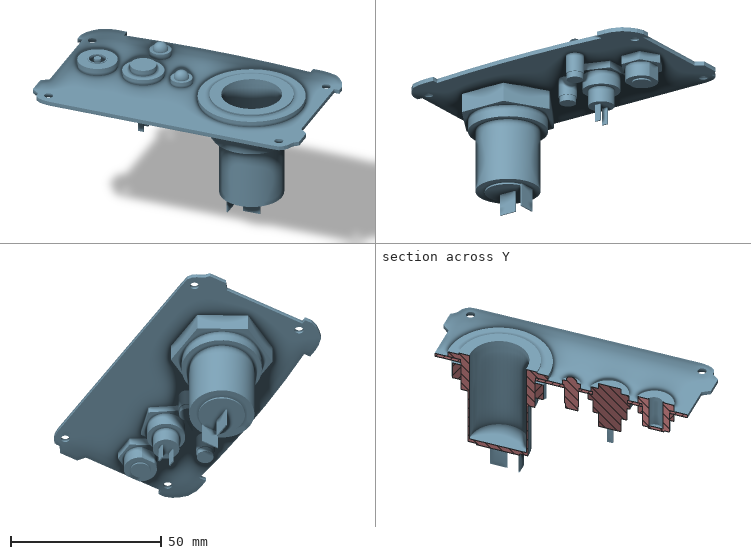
import cadquery as cq


PANEL_THICKNESS = 1.4
PANEL_HEIGHT = 54.0
PANEL_HALF_WIDTH = 47.75
WALL_X = 45.1
FOOT_TOP_Y = 14.3
LOBE_BOTTOM_Y = 43.55
RIGHT_LOBE_DROP = 0.3
LOBE_SIDE_X = 46.9
LOBE_SHOULDER_DROP = 0.3
NOTCH_X = 33.4
NOTCH_Y = 51.4
CROWN_Y = 52.8
MOUNT_HOLE_DIAMETER = 3.0
UPPER_HOLE_X = 41.9
UPPER_HOLE_Y = 44.2
LOWER_HOLE_X = 41.3
LOWER_HOLE_Y = 3.9

ROW_Y = 28.6
JACK_CENTRE = (-33.7, ROW_Y)
BUTTON_CENTRE = (-17.3, ROW_Y)
LAMP_CENTRES = [(BUTTON_CENTRE[0], 43.7), (-3.6, ROW_Y)]
SOCKET_CENTRE = (22.6, 25.9)

PANEL_TOP_Z = 0
PANEL_BOTTOM_Z = -PANEL_THICKNESS
FLANGE_TOP_Z = 2.0
NUT_SIDES = 6

SOCKET_FLANGE_DIAMETER = 35.9
SOCKET_RIM_DIAMETER = 28.1
SOCKET_RIM_TOP_Z = 2.6
SOCKET_BORE_DIAMETER = 20.2
SOCKET_FLOOR = 1.4
SOCKET_THREAD_DIAMETER = 26.6
SOCKET_THREAD_BOTTOM_Z = -12.9
SOCKET_TUBE_DIAMETER = 21.7
SOCKET_TUBE_BOTTOM_Z = -34.4
SOCKET_BOSS_DIAMETER = 15.5
SOCKET_BOSS_BOTTOM_Z = -35.0
SOCKET_BLADE_WIDTH = 6.1
SOCKET_BLADE_THICKNESS = 0.4
SOCKET_BLADE_BOTTOM_Z = -42.4
SOCKET_NUT_CORNERS = 33.8
SOCKET_NUT_TOP_Z = -2.3
SOCKET_NUT_BOTTOM_Z = -8.8

JACK_FLANGE_DIAMETER = 13.5
JACK_FLANGE_TOP_Z = 2.7
JACK_BODY_DIAMETER = 11.0
JACK_BODY_FLATS = 9.8
JACK_BODY_BOTTOM_Z = -9.5
JACK_SLEEVE_DIAMETER = 6.5
JACK_SLEEVE_TOP_Z = 3.0
JACK_SLEEVE_BOTTOM_Z = -9.9
JACK_BORE_DIAMETER = 5.7
JACK_BORE_FLOOR_Z = -8.6
JACK_PIN_DIAMETER = 2.5
JACK_PIN_TOP_Z = 3.15
JACK_NUT_CORNERS = 14.9
JACK_NUT_BOTTOM_Z = -4.4

BUTTON_FLANGE_DIAMETER = 14.0
BUTTON_CAP_DIAMETER = 8.8
BUTTON_CAP_TOP_Z = 4.1
BUTTON_BODY_DIAMETER = 12.7
BUTTON_BODY_BOTTOM_Z = -8.8
BUTTON_TAIL_BOTTOM_Z = -14.3
BUTTON_COLLAR_SIDES = 5
BUTTON_COLLAR_CORNERS = 18.05
BUTTON_COLLAR_BOTTOM_Z = -3.8
BUTTON_BLADE_WIDTH = 2.1
BUTTON_BLADE_THICKNESS = 0.5
BUTTON_BLADE_OFFSET = 2.0
BUTTON_BLADE_BOTTOM_Z = -20.2

LAMP_FLANGE_DIAMETER = 7.4
LAMP_DOME_DIAMETER = 5.1
LAMP_TOP_Z = 4.7
LAMP_BODY_DIAMETER = 6.1
LAMP_BODY_BOTTOM_Z = -7.9
LAMP_TAIL_DIAMETER = 5.5
LAMP_TAIL_BOTTOM_Z = -9.9


def cylinder(diameter, bottom_z, top_z):
    return cq.Workplane("XY", origin=(0, 0, bottom_z)).circle(diameter / 2).extrude(top_z - bottom_z)


def prism(sides, corner_diameter, bottom_z, top_z):
    """Regular prism with one corner on the +X axis."""
    plane = cq.Workplane("XY", origin=(0, 0, bottom_z))
    return plane.polygon(sides, corner_diameter).extrude(top_z - bottom_z)


def block(size_x, size_y, bottom_z, top_z, centre=(0, 0)):
    plane = cq.Workplane("XY", origin=(*centre, bottom_z))
    return plane.rect(size_x, size_y).extrude(top_z - bottom_z)


def placed(body, centre):
    return body.translate((*centre, 0))


def lobe_corner(top_y):
    """Faceted upper corner on the +X side, from the side wall up to the notch."""
    return [
        (WALL_X, LOBE_BOTTOM_Y),
        (LOBE_SIDE_X, LOBE_BOTTOM_Y),
        (LOBE_SIDE_X, 46.0),
        (45.9, 48.5),
        (44.5, 50.4),
        (42.5, 52.4),
        (39.25, top_y - LOBE_SHOULDER_DROP),
        (36.8, top_y),
        (NOTCH_X, top_y),
    ]


def mirrored(points):
    return [(-x, y) for x, y in reversed(points)]


def panel_outline():
    right_foot = [
        (39.7, 0.2),
        (42.7, 0.4),
        (44.1, 1.2),
        (WALL_X, 2.5),
        (45.65, 3.8),
        (46.3, 4.9),
        (PANEL_HALF_WIDTH, 5.9),
        (PANEL_HALF_WIDTH, 12.1),
        (WALL_X, FOOT_TOP_Y),
    ]
    left_foot = [
        (-WALL_X, FOOT_TOP_Y),
        (-PANEL_HALF_WIDTH, 12.5),
        (-PANEL_HALF_WIDTH, 5.9),
        (-WALL_X, 4.0),
        (-WALL_X, 2.9),
        (-44.8, 1.9),
        (-43.6, 1.0),
        (-42.2, 0.4),
        (-39.7, 0),
    ]
    right_lobe = lobe_corner(PANEL_HEIGHT - RIGHT_LOBE_DROP)
    left_lobe = mirrored(lobe_corner(PANEL_HEIGHT))
    outline = cq.Workplane("XY", origin=(0, 0, PANEL_BOTTOM_Z))
    outline = outline.polyline(right_foot + right_lobe + [(NOTCH_X, NOTCH_Y)])
    outline = outline.threePointArc((0, CROWN_Y), (-NOTCH_X, NOTCH_Y))
    for point in left_lobe + left_foot:
        outline = outline.lineTo(*point)
    return outline.close()


def make_panel():
    panel = panel_outline().extrude(PANEL_THICKNESS)
    mount_holes = [
        (side * x, y)
        for side in (-1, 1)
        for x, y in ((UPPER_HOLE_X, UPPER_HOLE_Y), (LOWER_HOLE_X, LOWER_HOLE_Y))
    ]
    openings = [(centre, MOUNT_HOLE_DIAMETER) for centre in mount_holes]
    openings += [(centre, LAMP_BODY_DIAMETER) for centre in LAMP_CENTRES]
    openings.append((BUTTON_CENTRE, BUTTON_BODY_DIAMETER))
    openings.append((SOCKET_CENTRE, SOCKET_THREAD_DIAMETER))
    for centre, diameter in openings:
        panel = panel.cut(placed(cylinder(diameter, PANEL_BOTTOM_Z, PANEL_TOP_Z), centre))
    return panel.cut(placed(jack_shank(PANEL_BOTTOM_Z, PANEL_TOP_Z), JACK_CENTRE))


def make_socket():
    thread = cylinder(SOCKET_THREAD_DIAMETER, SOCKET_THREAD_BOTTOM_Z, PANEL_TOP_Z)
    flange = cylinder(SOCKET_FLANGE_DIAMETER, PANEL_TOP_Z, FLANGE_TOP_Z)
    rim = cylinder(SOCKET_RIM_DIAMETER, FLANGE_TOP_Z, SOCKET_RIM_TOP_Z)
    tube = cylinder(SOCKET_TUBE_DIAMETER, SOCKET_TUBE_BOTTOM_Z, SOCKET_THREAD_BOTTOM_Z)
    boss = cylinder(SOCKET_BOSS_DIAMETER, SOCKET_BOSS_BOTTOM_Z, SOCKET_TUBE_BOTTOM_Z)
    bore_floor_z = SOCKET_TUBE_BOTTOM_Z + SOCKET_FLOOR
    bore = cylinder(SOCKET_BORE_DIAMETER, bore_floor_z, SOCKET_RIM_TOP_Z)

    middle_blade = block(
        SOCKET_BLADE_WIDTH, SOCKET_BLADE_THICKNESS, SOCKET_BLADE_BOTTOM_Z, SOCKET_TUBE_BOTTOM_Z
    )
    edge_blade_x = (SOCKET_BLADE_THICKNESS - SOCKET_BOSS_DIAMETER) / 2
    edge_blade = block(
        SOCKET_BLADE_THICKNESS,
        SOCKET_BLADE_WIDTH,
        SOCKET_BLADE_BOTTOM_Z,
        SOCKET_TUBE_BOTTOM_Z,
        centre=(edge_blade_x, 0),
    )
    socket = thread.union(flange).union(rim).union(tube).union(boss).cut(bore)
    return placed(socket.union(middle_blade).union(edge_blade), SOCKET_CENTRE)


def make_socket_nut():
    nut = prism(NUT_SIDES, SOCKET_NUT_CORNERS, SOCKET_NUT_BOTTOM_Z, SOCKET_NUT_TOP_Z)
    hole = cylinder(SOCKET_THREAD_DIAMETER, SOCKET_NUT_BOTTOM_Z, SOCKET_NUT_TOP_Z)
    return placed(nut.cut(hole), SOCKET_CENTRE)


def jack_shank(bottom_z, top_z):
    """Round shank with a flat on its -X and +X sides."""
    flats = block(JACK_BODY_FLATS, JACK_BODY_DIAMETER, bottom_z, top_z)
    return cylinder(JACK_BODY_DIAMETER, bottom_z, top_z).intersect(flats)


def make_jack():
    shank = jack_shank(JACK_BODY_BOTTOM_Z, PANEL_TOP_Z)
    flange = cylinder(JACK_FLANGE_DIAMETER, PANEL_TOP_Z, JACK_FLANGE_TOP_Z)
    sleeve = cylinder(JACK_SLEEVE_DIAMETER, JACK_SLEEVE_BOTTOM_Z, JACK_SLEEVE_TOP_Z)
    bore = cylinder(JACK_BORE_DIAMETER, JACK_BORE_FLOOR_Z, JACK_SLEEVE_TOP_Z)
    pin = cylinder(JACK_PIN_DIAMETER, JACK_BORE_FLOOR_Z, JACK_PIN_TOP_Z)
    return placed(shank.union(flange).union(sleeve).cut(bore).union(pin), JACK_CENTRE)


def make_jack_nut():
    nut = prism(NUT_SIDES, JACK_NUT_CORNERS, JACK_NUT_BOTTOM_Z, PANEL_BOTTOM_Z)
    return placed(nut.cut(jack_shank(JACK_NUT_BOTTOM_Z, PANEL_BOTTOM_Z)), JACK_CENTRE)


def make_button():
    button = cylinder(BUTTON_BODY_DIAMETER, BUTTON_BODY_BOTTOM_Z, PANEL_TOP_Z)
    button = button.union(cylinder(BUTTON_FLANGE_DIAMETER, PANEL_TOP_Z, FLANGE_TOP_Z))
    button = button.union(cylinder(BUTTON_CAP_DIAMETER, FLANGE_TOP_Z, BUTTON_CAP_TOP_Z))
    button = button.union(cylinder(BUTTON_CAP_DIAMETER, BUTTON_TAIL_BOTTOM_Z, BUTTON_BODY_BOTTOM_Z))
    collar = prism(BUTTON_COLLAR_SIDES, BUTTON_COLLAR_CORNERS, BUTTON_COLLAR_BOTTOM_Z, PANEL_BOTTOM_Z)
    button = button.union(collar)
    for side in (-1, 1):
        blade = block(
            BUTTON_BLADE_WIDTH,
            BUTTON_BLADE_THICKNESS,
            BUTTON_BLADE_BOTTOM_Z,
            BUTTON_TAIL_BOTTOM_Z,
            centre=(0, side * BUTTON_BLADE_OFFSET),
        )
        button = button.union(blade)
    return placed(button, BUTTON_CENTRE)


def make_lamp(centre):
    dome_radius = LAMP_DOME_DIAMETER / 2
    dome_centre_z = LAMP_TOP_Z - dome_radius
    lamp = cylinder(LAMP_TAIL_DIAMETER, LAMP_TAIL_BOTTOM_Z, LAMP_BODY_BOTTOM_Z)
    lamp = lamp.union(cylinder(LAMP_BODY_DIAMETER, LAMP_BODY_BOTTOM_Z, PANEL_TOP_Z))
    lamp = lamp.union(cylinder(LAMP_FLANGE_DIAMETER, PANEL_TOP_Z, FLANGE_TOP_Z))
    dome = cq.Workplane("XY").sphere(dome_radius).translate((0, 0, dome_centre_z))
    lamp = lamp.union(dome)
    return placed(lamp, centre)


panel = make_panel()
socket = make_socket()
socket_nut = make_socket_nut()
jack = make_jack()
jack_nut = make_jack_nut()
button = make_button()
lamps = [make_lamp(centre) for centre in LAMP_CENTRES]

result = cq.Compound.makeCompound(
    [
        panel.val(),
        socket.val(),
        socket_nut.val(),
        jack.val(),
        jack_nut.val(),
        button.val(),
        *[lamp.val() for lamp in lamps],
    ]
)